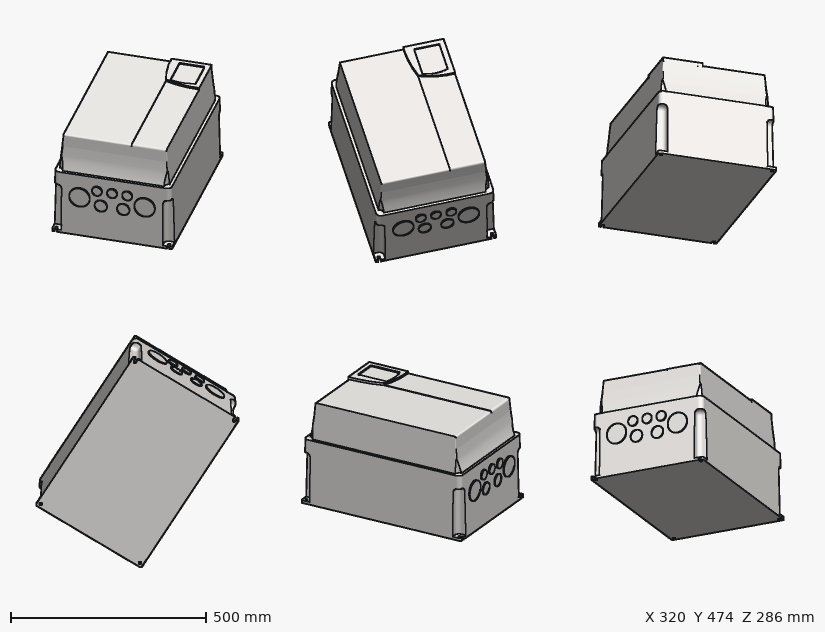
import cadquery as cq
import math

BASE_WIDTH = 320.0
BASE_LENGTH = 474.0
BASE_HEIGHT = 179.0
BASE_DRAFT = 1.5
BASE_CORNER_RADIUS = 12.5

TAB_THICKNESS = 7.5
TAB_CORNER_RADIUS = 4.7
HOLE_RADIUS = 3.5
HOLE_INSET = 10.0

POCKET_X = 135.0
POCKET_Y = 212.0
POCKET_TOP = 142.0
POCKET_RADIUS = 12.0

LID_TOP = 279.0
LID_HALF_WIDTH = 146.5
LID_SIDE_DRAFT = 5.0
LID_FOOT_Y = 224.0
COVE_TOP = 244.5
COVE_TOP_Y = 210.5
LID_END_DRAFT = 3.5
LID_EDGE_RADIUS = 4.7
LID_CORNER_RADIUS = 2.5

STRIP_LEFT = 44.0
STRIP_RISE = 1.5

DISPLAY_TOP = 286.0
DISPLAY_LEFT = 30.5
DISPLAY_RIGHT = 138.0
DISPLAY_BACK = 208.5
DISPLAY_KNEE_Y = 109.0
DISPLAY_FRONT = 93.0
DISPLAY_LEFT_MID = (33.0, 159.0)
DISPLAY_FRONT_MID = (87.5, 96.0)
WINDOW_LEFT = 56.0
WINDOW_RIGHT = 123.0
WINDOW_BACK = 195.0
WINDOW_SIDE_END = 110.0
WINDOW_FRONT = 104.5
WINDOW_DEPTH = 3.5
WINDOW_CORNER_RADIUS = 2.0

KNOCKOUT_LENGTH = 9.5
KNOCKOUTS = [
    (13.5, 140.5, (-40.5, 0, 40.5)),
    (16.5, 97.5, (-30.0, 30.0)),
    (27.5, 113.8, (-86.7, 86.7)),
]

CORNER_SIGNS = [(x, y) for x in (-1, 1) for y in (-1, 1)]
POCKET_AXIS_X = POCKET_X + POCKET_RADIUS
POCKET_AXIS_Y = POCKET_Y + POCKET_RADIUS


def drafted_box(height, corner_radius):
    """Box on the housing footprint with leaning walls and rounded corners."""
    box = cq.Workplane("XY").rect(BASE_WIDTH, BASE_LENGTH).extrude(height, taper=BASE_DRAFT)
    return box.edges("not(<Z or >Z)").fillet(corner_radius)


def corner_pocket(x_sign, y_sign):
    """Cutter for one corner, rounded along its inner edge and its ceiling."""
    width = BASE_WIDTH / 2
    length = BASE_LENGTH / 2
    center_x = x_sign * (POCKET_X + width / 2)
    center_y = y_sign * (POCKET_Y + length / 2)
    cutter = (
        cq.Workplane("XY", origin=(center_x, center_y, TAB_THICKNESS))
        .rect(width, length)
        .extrude(POCKET_TOP - TAB_THICKNESS)
    )
    inner_x = "<X" if x_sign > 0 else ">X"
    inner_y = "<Y" if y_sign > 0 else ">Y"
    inner_edges = f"({inner_x} and {inner_y}) or (>Z and {inner_x}) or (>Z and {inner_y})"
    return cutter.edges(inner_edges).fillet(POCKET_RADIUS)


def mounting_hole(x_sign, y_sign):
    """Round hole through a tab; the two front ones open to the front as slots."""
    x = x_sign * (BASE_WIDTH / 2 - HOLE_INSET)
    y = y_sign * (BASE_LENGTH / 2 - HOLE_INSET)
    hole = cq.Workplane("XY").center(x, y).circle(HOLE_RADIUS).extrude(TAB_THICKNESS)
    if y_sign < 0:
        mouth = cq.Workplane("XY").center(x, y - HOLE_INSET / 2).rect(2 * HOLE_RADIUS, HOLE_INSET)
        hole = hole.union(mouth.extrude(TAB_THICKNESS))
    return hole


def knockouts():
    """Discs on the front wall, ending level with the foot of the housing."""
    front = BASE_LENGTH / 2
    discs = cq.Workplane("XY")
    for radius, height, positions in KNOCKOUTS:
        discs = discs.add(
            cq.Workplane("XZ", origin=(0, -front, 0))
            .pushPoints([(x, height) for x in positions])
            .circle(radius)
            .extrude(-KNOCKOUT_LENGTH)
        )
    return discs


def build_base():
    base = drafted_box(BASE_HEIGHT, BASE_CORNER_RADIUS)
    for signs in CORNER_SIGNS:
        base = base.cut(corner_pocket(*signs))
    base = base.union(drafted_box(TAB_THICKNESS, TAB_CORNER_RADIUS))
    for signs in CORNER_SIGNS:
        base = base.cut(mounting_hole(*signs))
    for disc in knockouts().vals():
        base = base.union(cq.Workplane(disc))
    return base


def lid_block(top, edge_radius):
    """Lid with coved ends, leaning side walls and rounded corners."""
    end_lean = math.tan(math.radians(LID_END_DRAFT))
    side_lean = math.tan(math.radians(LID_SIDE_DRAFT))
    top_y = COVE_TOP_Y - (top - COVE_TOP) * end_lean
    top_x = LID_HALF_WIDTH - (top - BASE_HEIGHT) * side_lean
    along = (
        cq.Workplane("YZ")
        .moveTo(0, top)
        .lineTo(top_y, top)
        .lineTo(COVE_TOP_Y, COVE_TOP)
        .tangentArcPoint((LID_FOOT_Y, BASE_HEIGHT), relative=False)
        .lineTo(0, BASE_HEIGHT)
        .mirrorY()
        .extrude(LID_HALF_WIDTH, both=True)
    )
    across = (
        cq.Workplane("XZ")
        .polyline([
            (-LID_HALF_WIDTH, BASE_HEIGHT),
            (LID_HALF_WIDTH, BASE_HEIGHT),
            (top_x, top),
            (-top_x, top),
        ])
        .close()
        .extrude(BASE_LENGTH / 2, both=True)
    )
    block = along.intersect(across).faces("<X or >X").edges("not |Y").fillet(LID_CORNER_RADIUS)
    return block.intersect(along.edges("|X and >Z").fillet(edge_radius))


def display_block():
    """Display surround with two bowed edges meeting at a knee, and a sunken window."""
    surround = (
        cq.Workplane("XY", origin=(0, 0, LID_TOP - LID_EDGE_RADIUS))
        .moveTo(DISPLAY_RIGHT, DISPLAY_BACK)
        .lineTo(DISPLAY_LEFT, DISPLAY_BACK)
        .threePointArc(DISPLAY_LEFT_MID, (STRIP_LEFT, DISPLAY_KNEE_Y))
        .threePointArc(DISPLAY_FRONT_MID, (DISPLAY_RIGHT, DISPLAY_FRONT))
        .close()
        .extrude(DISPLAY_TOP - LID_TOP + LID_EDGE_RADIUS)
    )
    window = (
        cq.Workplane("XY", origin=(0, 0, DISPLAY_TOP - WINDOW_DEPTH))
        .moveTo(WINDOW_LEFT, WINDOW_SIDE_END)
        .lineTo(WINDOW_LEFT, WINDOW_BACK)
        .lineTo(WINDOW_RIGHT, WINDOW_BACK)
        .lineTo(WINDOW_RIGHT, WINDOW_SIDE_END)
        .threePointArc(((WINDOW_LEFT + WINDOW_RIGHT) / 2, WINDOW_FRONT), (WINDOW_LEFT, WINDOW_SIDE_END))
        .close()
        .extrude(WINDOW_DEPTH)
        .edges("|Z and >Y")
        .fillet(WINDOW_CORNER_RADIUS)
    )
    return surround.cut(window)


def build_lid():
    strip_region = (
        cq.Workplane("XY", origin=(STRIP_LEFT, 0, BASE_HEIGHT))
        .rect(LID_HALF_WIDTH, BASE_LENGTH, centered=(False, True))
        .extrude(DISPLAY_TOP - BASE_HEIGHT)
    )
    strip = lid_block(LID_TOP + STRIP_RISE, LID_EDGE_RADIUS + STRIP_RISE).intersect(strip_region)
    screw_clearance = (
        cq.Workplane("XY", origin=(0, 0, BASE_HEIGHT))
        .pushPoints([(x * POCKET_AXIS_X, y * POCKET_AXIS_Y) for x, y in CORNER_SIGNS])
        .circle(POCKET_RADIUS)
        .extrude(LID_TOP - BASE_HEIGHT)
    )
    lid = lid_block(LID_TOP, LID_EDGE_RADIUS).union(strip)
    return lid.cut(screw_clearance).union(display_block())


result = build_base().union(build_lid())